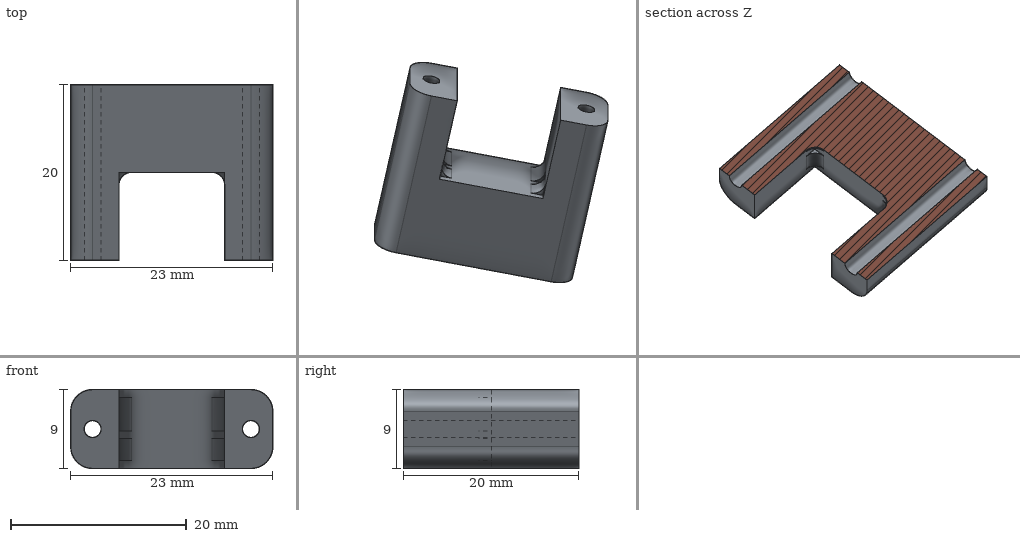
import cadquery as cq

width = 23.0
depth = 20.0
height = 9.0
side_radius = 2.5

notch_width = 12.0
notch_depth = 10.0

hole_diameter = 1.9
hole_offset = width / 2 - side_radius

web_radius = 1.4
web_gap = 0.9
lower_web_height = 2.5

notch_half = notch_width / 2
lower_web_bottom = web_gap
upper_web_bottom = lower_web_bottom + lower_web_height + web_gap
upper_web_height = height - web_gap - upper_web_bottom


def make_body():
    """Block with its four lengthwise edges rounded."""
    block = cq.Workplane("XY").box(width, depth, height, centered=(True, False, False))
    return block.edges("|Y").fillet(side_radius)


def make_notch():
    """Cutter for the notch between the two arms."""
    return cq.Workplane("XY").box(notch_width, notch_depth, height, centered=(True, False, False))


def make_holes():
    """Cutter for one through hole along each arm."""
    plane = cq.Workplane("XZ", origin=(0, 0, height / 2))
    points = [(-hole_offset, 0), (hole_offset, 0)]
    return plane.pushPoints(points).circle(hole_diameter / 2).extrude(-depth)


def make_web(side, bottom, web_height):
    """Corner web with a concave face tangent to both notch walls; side is -1 or +1."""
    wall_x = side * notch_half
    corner_blank = (
        cq.Workplane("XY", origin=(0, 0, bottom))
        .moveTo(wall_x, notch_depth)
        .lineTo(wall_x, notch_depth - web_radius)
        .lineTo(wall_x - side * web_radius, notch_depth - web_radius)
        .lineTo(wall_x - side * web_radius, notch_depth)
        .close()
        .extrude(web_height)
    )
    hollow = (
        cq.Workplane("XY", origin=(wall_x - side * web_radius, notch_depth - web_radius, bottom))
        .circle(web_radius)
        .extrude(web_height)
    )
    return corner_blank.cut(hollow)


result = make_body().cut(make_notch()).cut(make_holes())
for side in (-1, 1):
    result = result.union(make_web(side, lower_web_bottom, lower_web_height))
    result = result.union(make_web(side, upper_web_bottom, upper_web_height))